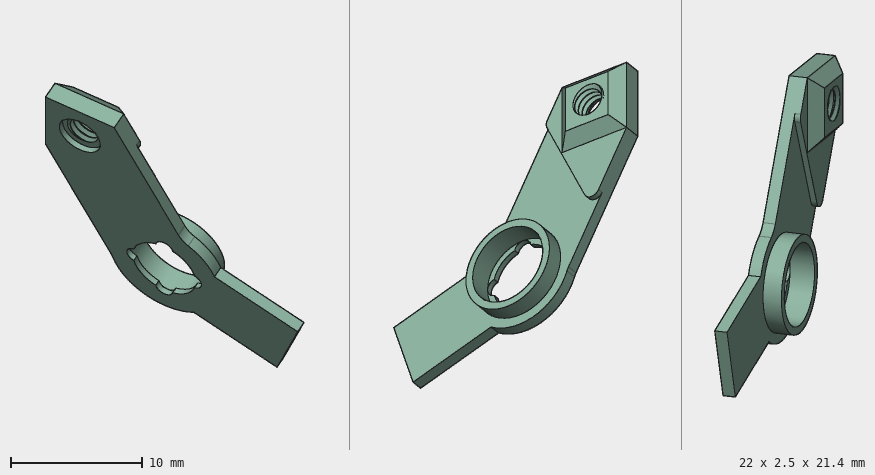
import cadquery as cq
import math


plate_thickness = 1.01
arm_thickness = 1.5
full_depth = 2.5

hub_radius = 4.73
ring_radius = 7.75 / 2
bore_radius = 6.5 / 2
lip_radius = 2.75
lip_depth = 0.5
notch_count = 4
notch_radius = 0.75
notch_offset = bore_radius - notch_radius

tail_angle = -17.4
tail_length = 11.25
tail_width = 6.0

head_left = -10.35
head_top = 15.15
head_size = 6.0
head_slope = full_depth - arm_thickness
arm_angle = 61
neck_fillet = 2.0

pad_end_angle = 65
pad_end_gap = 0.09
pad_corner_radius = 0.73

thread_x = head_left + head_size / 2
thread_z = head_top - head_size / 2
thread_minor_radius = 2.37 / 2
thread_major_radius = 3.05 / 2
thread_pitch = 0.5
thread_groove_width = 0.48
thread_start_angle = 105
thread_overlap = 0.02
counterbore_radius = 3.55 / 2
counterbore_depth = 0.5

head_right = head_left + head_size
head_bottom = head_top - head_size
arm_slope = math.tan(math.radians(arm_angle))


def extrude_back(profile, depth):
    """Extrude an XZ profile toward +Y."""
    return profile.extrude(-depth)


def cylinder(radius, start, end, x=0, z=0):
    """Cylinder along Y between two Y positions."""
    profile = cq.Workplane("XZ", origin=(x, start, z)).circle(radius)
    return extrude_back(profile, end - start)


def neck_fillet_points(start, side):
    """Tangent points of the fillet joining an arm edge to the hub, and its middle point.

    The edge leaves start along the arm; side is +1 for the upper edge and -1 for the lower one.
    """
    along = (math.cos(math.radians(arm_angle)), -math.sin(math.radians(arm_angle)))
    outward = (-side * along[1], side * along[0])
    edge_offset = start[0] * outward[0] + start[1] * outward[1]
    center_offset = edge_offset + neck_fillet
    center_reach = hub_radius + neck_fillet
    back = math.sqrt(center_reach**2 - center_offset**2)
    center = tuple(center_offset * o - back * a for o, a in zip(outward, along))
    on_edge = tuple(c - neck_fillet * o for c, o in zip(center, outward))
    on_hub = tuple(c * hub_radius / center_reach for c in center)
    chord_middle = tuple((e + h) / 2 for e, h in zip(on_edge, on_hub))
    toward = tuple(m - c for m, c in zip(chord_middle, center))
    reach = math.hypot(*toward)
    middle = tuple(c + neck_fillet * t / reach for c, t in zip(center, toward))
    return on_edge, middle, on_hub


def make_plate():
    """Head, sloping arm, round hub and tail as one flat plate."""
    upper_edge, upper_middle, upper_hub = neck_fillet_points((head_right, head_top), 1)
    lower_edge, lower_middle, lower_hub = neck_fillet_points((head_left, head_bottom), -1)
    arm = extrude_back(
        cq.Workplane("XZ")
        .moveTo(head_left, head_top)
        .lineTo(head_right, head_top)
        .lineTo(*upper_edge)
        .threePointArc(upper_middle, upper_hub)
        .lineTo(0, 0)
        .lineTo(*lower_hub)
        .threePointArc(lower_middle, lower_edge)
        .lineTo(head_left, head_bottom)
        .close(),
        plate_thickness,
    )
    tail = (
        cq.Workplane("XY")
        .box(tail_length, plate_thickness, tail_width, centered=(False, False, True))
        .rotate((0, 0, 0), (0, 1, 0), -tail_angle)
    )
    return arm.union(cylinder(hub_radius, 0, plate_thickness)).union(tail)


def make_arm_pad():
    """Thicker part of the head and arm, ending on a slanted line just past the head's corner."""
    end_slope = math.tan(math.radians(pad_end_angle))
    end_x = head_right + pad_end_gap

    upper_x = (head_top - head_bottom + arm_slope * head_right + end_slope * end_x) / (arm_slope + end_slope)
    lower_x = (arm_slope * head_left + end_slope * end_x) / (arm_slope + end_slope)
    upper_end = (upper_x, head_bottom + end_slope * (upper_x - end_x))
    lower_end = (lower_x, head_bottom + end_slope * (lower_x - end_x))
    pad = extrude_back(
        cq.Workplane("XZ").polyline([
            (head_left, head_top),
            (head_right, head_top),
            upper_end,
            lower_end,
            (head_left, head_bottom),
        ]).close(),
        arm_thickness,
    )
    for x, z in (upper_end, lower_end):
        corner = cq.selectors.NearestToPointSelector((x, arm_thickness / 2, z))
        pad = pad.edges("|Y").edges(corner).fillet(pad_corner_radius)
    return pad


def make_head_frustum():
    """Raised back of the head, sloping inward at 45 degrees on all four sides."""
    block = cq.Workplane("XY").box(head_size, full_depth, head_size, centered=False)
    return block.faces(">Y").chamfer(head_slope).translate((head_left, 0, head_bottom))


def cut_ring_bore(body):
    """Bore behind a thin front lip, with round notches through the lip."""
    body = body.cut(cylinder(lip_radius, 0, full_depth))
    body = body.cut(cylinder(bore_radius, lip_depth, full_depth))
    for index in range(notch_count):
        angle = math.radians(index * 360 / notch_count)
        x = notch_offset * math.cos(angle)
        z = notch_offset * math.sin(angle)
        body = body.cut(cylinder(notch_radius, 0, lip_depth, x, z))
    return body


def make_thread_groove():
    """V-shaped helical groove along +Z from the origin, overlapping the minor bore."""
    groove_length = full_depth - counterbore_depth + 2 * thread_pitch
    inner_radius = thread_minor_radius - thread_overlap
    half_width = thread_groove_width / 2
    helix = cq.Wire.makeHelix(thread_pitch, groove_length, thread_minor_radius)
    return (
        cq.Workplane("XZ")
        .polyline([
            (inner_radius, -half_width),
            (thread_major_radius, 0),
            (inner_radius, half_width),
        ])
        .close()
        .sweep(helix, isFrenet=True)
    )


def cut_threaded_hole(body):
    """Counterbored through hole with a right-hand thread."""
    groove = (
        make_thread_groove()
        .rotate((0, 0, 0), (0, 0, 1), -thread_start_angle)
        .rotate((0, 0, 0), (1, 0, 0), -90)
        .translate((thread_x, counterbore_depth - thread_pitch, thread_z))
    )
    tap = cylinder(thread_minor_radius, -thread_pitch, full_depth + 2 * thread_pitch, thread_x, thread_z)
    tap = tap.union(groove)
    tap = tap.intersect(cylinder(counterbore_radius, counterbore_depth, full_depth, thread_x, thread_z))
    counterbore = cylinder(counterbore_radius, 0, counterbore_depth, thread_x, thread_z)
    return body.cut(counterbore).cut(tap)


body = make_plate().union(make_arm_pad()).union(make_head_frustum())
body = body.union(cylinder(ring_radius, 0, full_depth))
result = cut_threaded_hole(cut_ring_bore(body))